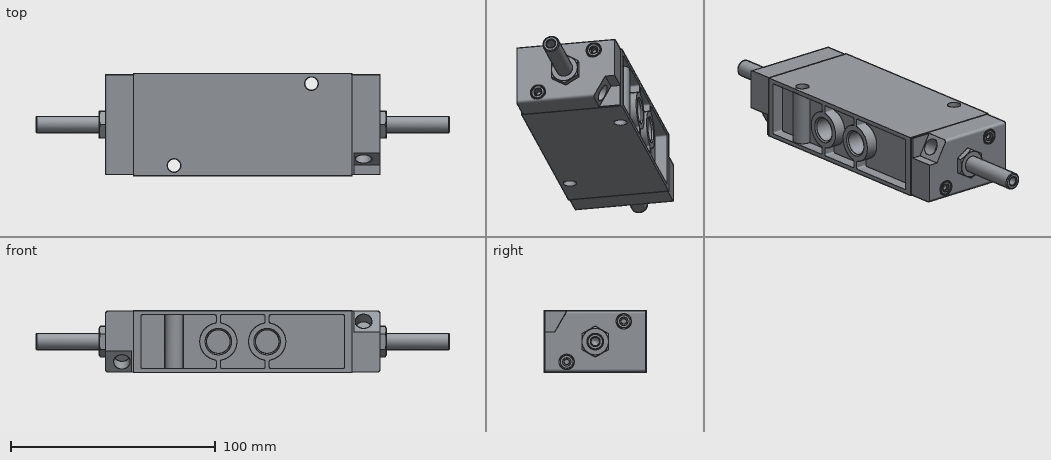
import cadquery as cq
import math

total_length = 202.0
body_length = 106.5
body_width = 50.0
body_height = 30.3
body_front = -body_width / 2

cap_end = 67.0
cap_width = 48.9
cap_height = 29.9
cap_fillet = 1.5

pocket_length = 99.4
pocket_wall = 2.0
pocket_height = body_height - 2 * pocket_wall
pocket_depth = 6.0
pocket_fillet = 0.8
boss_diameter = 18.2
rib_thickness = 2.0
port_spacing = 23.8
port_diameter = 11.5
port_depth = 16.2
port_chamfer = 0.7

mount_x = 33.5
mount_y = 20.0
mount_diameter = 6.5
post_diameter = 9.0

notch_inner_x = 54.3
notch_top_z = 4.6
notch_top_y = -19.8
notch_edge_y = -13.7
notch_hole_x = 59.0
notch_hole_z = 9.9
notch_hole_diameter = 8.0
notch_hole_depth = 7.5

screw_y = 14.0
screw_z = 9.9
screw_bore_diameter = 7.5
screw_head_diameter = 6.3
screw_socket_diameter = 4.0
screw_core_diameter = 2.6
screw_gap_depth = 1.0
screw_socket_depth = 1.0
screw_core_depth = 3.0

nut_flats = 13.1
nut_thickness = 3.0
nut_chamfer_diameter = 13.0
nut_chamfer_height = 0.6
rod_diameter = 8.0
rod_chamfer = 0.5
rod_hole_diameter = 4.0
rod_hole_depth = 8.0
rod_hole_chamfer = 0.5
drill_tip_angle = 118.0


def cylinder_along_x(diameter, start_x, length, y=0.0, z=0.0):
    """Cylinder that starts at start_x and runs toward +X."""
    return cq.Workplane("YZ", origin=(start_x, y, z)).circle(diameter / 2).extrude(length)


def make_body():
    """Main block with its pocketed front face, ports and mounting holes."""
    body = cq.Workplane("XY").box(body_length, body_width, body_height)
    front = cq.Workplane("XZ", origin=(0, body_front, 0))
    port_points = [(-port_spacing / 2, 0), (port_spacing / 2, 0)]

    pocket = front.rect(pocket_length, pocket_height).extrude(-pocket_depth)
    ribs = front.pushPoints(port_points).rect(rib_thickness, body_height).extrude(-pocket_depth)
    bosses = front.pushPoints(port_points).circle(boss_diameter / 2).extrude(-pocket_depth)
    pocket = pocket.cut(ribs).cut(bosses).edges("|Y").fillet(pocket_fillet)
    body = body.cut(pocket)

    post = (
        cq.Workplane("XY", origin=(-mount_x, -mount_y, -body_height / 2))
        .circle(post_diameter / 2)
        .extrude(body_height)
    )
    body = body.union(post)

    ports = front.pushPoints(port_points).circle(port_diameter / 2).extrude(-port_depth)
    countersinks = (
        front.pushPoints(port_points)
        .circle(port_diameter / 2 + port_chamfer)
        .extrude(-port_chamfer, taper=45)
    )
    mount_holes = (
        cq.Workplane("XY", origin=(0, 0, -body_height / 2))
        .pushPoints([(-mount_x, -mount_y), (mount_x, mount_y)])
        .circle(mount_diameter / 2)
        .extrude(body_height)
    )
    return body.cut(ports).cut(countersinks).cut(mount_holes)


def make_notch():
    """Tool for the upper front corner of the +X cap: a sloped notch and the blind hole in its slope."""
    body_top = body_height / 2
    notch = (
        cq.Workplane("YZ", origin=(notch_inner_x, 0, 0))
        .moveTo(notch_edge_y, body_top)
        .lineTo(notch_top_y, notch_top_z)
        .lineTo(body_front, notch_top_z)
        .lineTo(body_front, body_top)
        .close()
        .extrude(cap_end - notch_inner_x)
    )
    slope_run = notch_edge_y - notch_top_y
    slope_rise = body_top - notch_top_z
    hole_y = notch_top_y + slope_run * (notch_hole_z - notch_top_z) / slope_rise
    slope_plane = cq.Plane(
        origin=(notch_hole_x, hole_y, notch_hole_z),
        xDir=(1, 0, 0),
        normal=(0, -slope_rise, slope_run),
    )
    hole = cq.Workplane(slope_plane).circle(notch_hole_diameter / 2).extrude(-notch_hole_depth)
    return notch.union(hole)


def make_screw_recess(y, z):
    """Ring gap around a screw head and the stepped socket in the head, sunk into the +X cap face."""
    gap = cylinder_along_x(screw_bore_diameter, cap_end - screw_gap_depth, screw_gap_depth, y, z)
    gap = gap.cut(cylinder_along_x(screw_head_diameter, cap_end - screw_gap_depth, screw_gap_depth, y, z))
    socket = cylinder_along_x(screw_socket_diameter, cap_end - screw_socket_depth, screw_socket_depth, y, z)
    core = cylinder_along_x(screw_core_diameter, cap_end - screw_core_depth, screw_core_depth, y, z)
    return gap.union(socket).union(core)


def make_nut():
    """Hexagon nut with flats facing +Y and -Y and chamfered outer corners."""
    across_corners = nut_flats / math.cos(math.radians(30))
    nut = (
        cq.Workplane("YZ", origin=(cap_end, 0, 0))
        .transformed(rotate=(0, 0, 90))
        .polygon(6, across_corners)
        .extrude(nut_thickness)
    )
    outer_radius = across_corners / 2
    nut_face_x = cap_end + nut_thickness
    envelope = (
        cq.Workplane("XY")
        .moveTo(cap_end, 0)
        .lineTo(cap_end, outer_radius)
        .lineTo(nut_face_x - nut_chamfer_height, outer_radius)
        .lineTo(nut_face_x, nut_chamfer_diameter / 2)
        .lineTo(nut_face_x, 0)
        .close()
        .revolve(360, (0, 0, 0), (1, 0, 0))
    )
    return nut.intersect(envelope)


def make_rod():
    """Rod on the X axis with a chamfered tip and a drilled centre hole."""
    tip_x = total_length / 2
    rod = cylinder_along_x(rod_diameter, cap_end, tip_x - cap_end).faces(">X").chamfer(rod_chamfer)
    radius = rod_hole_diameter / 2
    drill_tip = radius / math.tan(math.radians(drill_tip_angle / 2))
    bore = (
        cq.Workplane("XY")
        .moveTo(tip_x, 0)
        .lineTo(tip_x, radius + rod_hole_chamfer)
        .lineTo(tip_x - rod_hole_chamfer, radius)
        .lineTo(tip_x - rod_hole_depth, radius)
        .lineTo(tip_x - rod_hole_depth - drill_tip, 0)
        .close()
        .revolve(360, (0, 0, 0), (1, 0, 0))
    )
    return rod.cut(bore)


def make_end():
    """Everything on the +X end: cap, notch, screws, nut and rod."""
    cap_length = cap_end - body_length / 2
    cap = cq.Workplane("XY").box(cap_length, cap_width, cap_height)
    cap = cap.translate((cap_end - cap_length / 2, 0, 0))
    cap = cap.edges(">X and |Y").fillet(cap_fillet)
    cap = cap.cut(make_notch())
    cap = cap.cut(make_screw_recess(-screw_y, -screw_z))
    cap = cap.cut(make_screw_recess(screw_y, screw_z))
    return cap.union(make_nut()).union(make_rod())


right_end = make_end()
left_end = right_end.rotate((0, 0, 0), (0, 1, 0), 180)
result = make_body().union(right_end).union(left_end)